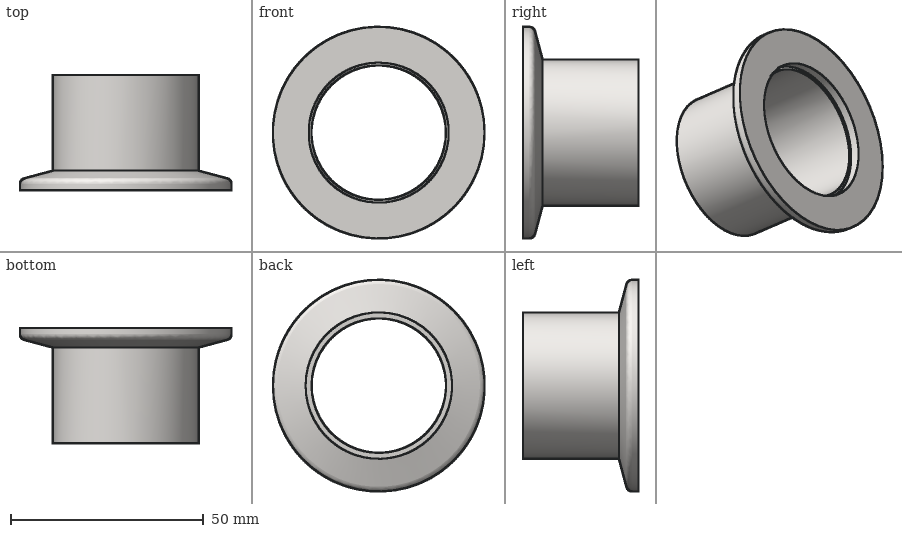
import cadquery as cq
import math

flange_diameter = 55.0
tube_diameter = 38.0
bore_diameter = 34.8
total_length = 30.0

cone_end = 5.1
cone_angle = 15.0
rim_fillet = 1.6

recess_diameter = 36.35
recess_depth = 2.6

flange_radius = flange_diameter / 2
tube_radius = tube_diameter / 2
cone_rise = (flange_radius - tube_radius) * math.tan(math.radians(cone_angle))
rim_width = cone_end - cone_rise


def disc(diameter, length):
    """Cylinder along +Y, starting at the sealing face."""
    return cq.Workplane("XZ").circle(diameter / 2).extrude(-length)


def flanged_body():
    """Solid tube and flange, with the rim rounded into the cone."""
    profile = (
        cq.Workplane("XY")
        .moveTo(0, 0)
        .lineTo(flange_radius, 0)
        .lineTo(flange_radius, rim_width)
        .lineTo(tube_radius, cone_end)
        .lineTo(tube_radius, total_length)
        .lineTo(0, total_length)
        .close()
    )
    body = profile.revolve(360, (0, 0, 0), (0, 1, 0))
    rim_edge = cq.selectors.RadiusNthSelector(-1)
    back_of_rim = body.edges(rim_edge).edges(">Y")
    return back_of_rim.fillet(rim_fillet)


bore = disc(bore_diameter, total_length)
recess = disc(recess_diameter, recess_depth)

result = flanged_body().cut(bore).cut(recess)